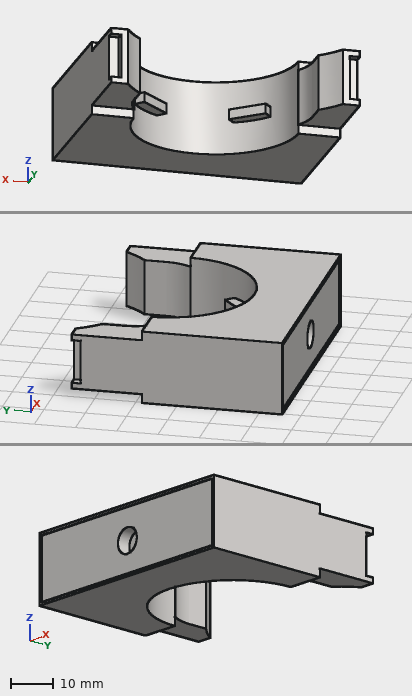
import cadquery as cq

width = 60.95
length = 51.0
height = 18.05
body_length = 34.0
bore_radius = 20.25

arm_height = 13.65
tip_width = 4.15
arm_width = 8.6
root_width = 10.4
lead_in_bend = (6.1, 2.8)
lead_in_length = 5.5
straight_end_y = 40.2
arc_middle = (9.1, 36.95)

pocket_length = 2.2
pocket_depth = 2.45
pocket_height = 10.7

pad_length = 9.65
pad_height = 2.45
pad_face_radius = 17.0
pad_angle = 41.5

rim = 0.75
recess_depth = 0.25
hole_diameter = 6.6
hole_depth = 3.65


def centred_box(x_size, y_size, z_size, y_start):
    """Box centred in X and Z that starts at y_start."""
    return cq.Workplane("XY").box(x_size, y_size, z_size).translate((0, y_start + y_size / 2, 0))


def make_body():
    block = centred_box(width, body_length, height, 0)
    bottom = cq.Workplane("XY", origin=(0, body_length, -height / 2))
    bore = bottom.circle(bore_radius).extrude(height)
    return block.cut(bore)


def make_arm():
    """Left arm, with its concave lead-in and curved inner flank."""
    outer = -width / 2
    return (
        cq.Workplane("XY", origin=(0, 0, -arm_height / 2))
        .moveTo(outer, body_length)
        .lineTo(outer, length)
        .lineTo(outer + tip_width, length)
        .threePointArc(
            (outer + lead_in_bend[0], length - lead_in_bend[1]),
            (outer + arm_width, length - lead_in_length),
        )
        .lineTo(outer + arm_width, straight_end_y)
        .threePointArc((outer + arc_middle[0], arc_middle[1]), (outer + root_width, body_length))
        .close()
        .extrude(arm_height)
    )


def make_tip_pocket():
    pocket = centred_box(pocket_depth, pocket_length, pocket_height, length - pocket_length)
    return pocket.translate(((pocket_depth - width) / 2, 0, 0))


def make_pad():
    """Left pad, its back buried in the bore wall."""
    pad = centred_box(pad_length, bore_radius - pad_face_radius, pad_height, -bore_radius)
    return pad.rotate((0, 0, 0), (0, 0, 1), -pad_angle).translate((0, body_length, 0))


left_arm = make_arm().cut(make_tip_pocket())
left_pad = make_pad()
result = make_body()
for feature in (left_arm, left_pad):
    result = result.union(feature).union(feature.mirror("YZ"))

recess = centred_box(width - 2 * rim, recess_depth, height - 2 * rim, 0)
hole = cq.Workplane("XZ").circle(hole_diameter / 2).extrude(-(recess_depth + hole_depth))
result = result.cut(recess).cut(hole)